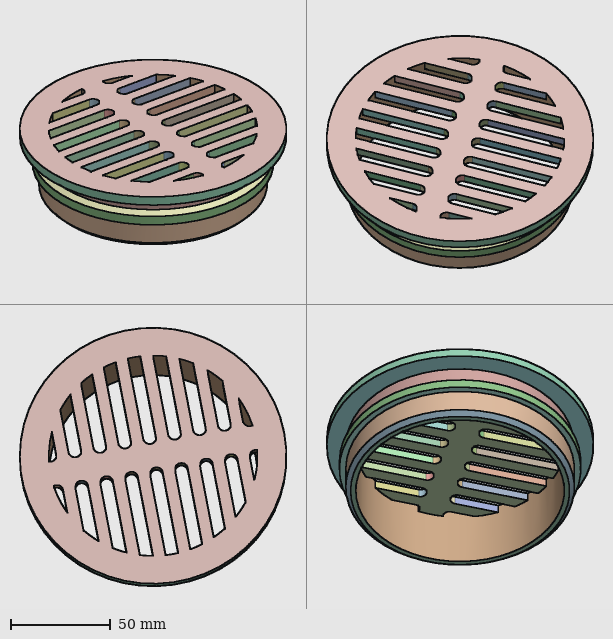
import cadquery as cq

total_height = 35.0
flange_thickness = 4.8
ring_slope_top = 13.2
ring_edge_top = 15.2
ring_bottom = 20.1

flange_radius = 133.4 / 2
body_radius = 114.3 / 2
ring_radius = 120.7 / 2
bore_radius = 104.3 / 2
bottom_chamfer = 2.4

slot_width = 6.4
slot_pitch = 12.7
slots_each_side = 4
bar_half_width = 6.3


def make_body():
    """Revolve the flange, snap ring and hollow skirt as one cup."""
    top = total_height
    profile = [
        (0, top),
        (flange_radius, top),
        (flange_radius, top - flange_thickness),
        (body_radius, top - flange_thickness),
        (body_radius, top - ring_slope_top),
        (ring_radius, top - ring_edge_top),
        (ring_radius, top - ring_bottom),
        (body_radius, top - ring_bottom),
        (body_radius, bottom_chamfer),
        (body_radius - bottom_chamfer, 0),
        (bore_radius, 0),
        (bore_radius, top - flange_thickness),
        (0, top - flange_thickness),
    ]
    return cq.Workplane("XZ").polyline(profile).close().revolve(360, (0, 0), (0, 1))


def make_slots():
    """Round-ended slots starting at the bar and trimmed by the bore circle."""
    slot_length = bore_radius + slot_width
    center_y = bar_half_width + slot_length / 2
    centers = [
        (column * slot_pitch, side * center_y)
        for column in range(-slots_each_side, slots_each_side + 1)
        for side in (-1, 1)
    ]
    slots = cq.Workplane("XY").pushPoints(centers).slot2D(slot_length, slot_width, 90).extrude(total_height)
    bore = cq.Workplane("XY").circle(bore_radius).extrude(total_height)
    return slots.intersect(bore)


result = make_body().cut(make_slots())